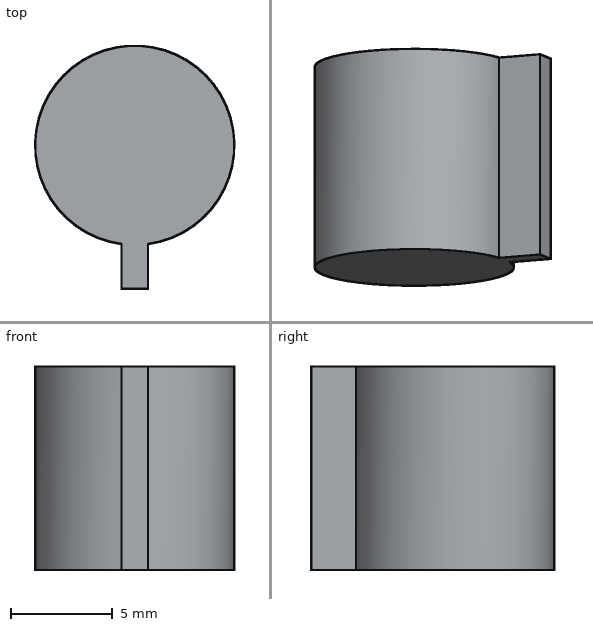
import cadquery as cq

body_diameter = 9.79
height = 10.0
overall_depth = 11.94
key_width = 1.33

body_radius = body_diameter / 2
key_reach = overall_depth - body_radius

body = cq.Workplane("XY").circle(body_radius).extrude(height)

key = cq.Workplane("XY").box(key_width, key_reach, height, centered=(True, False, False))
key = key.translate((0, -key_reach, 0))

result = body.union(key)